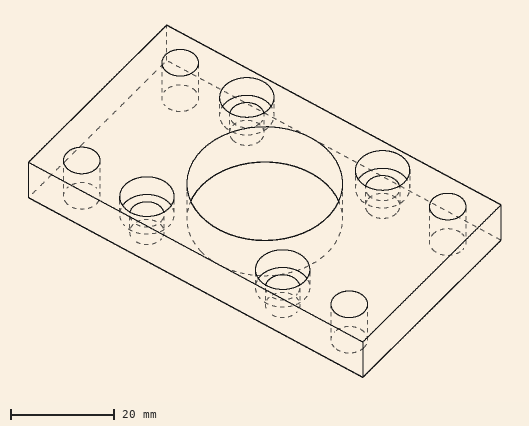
import cadquery as cq

length = 80.0
width = 45.0
thickness = 10.0

bore_diameter = 30.0

corner_hole_diameter = 7.0
corner_spacing_x = 64.0
corner_spacing_y = 32.0

screw_hole_diameter = 6.6
counterbore_diameter = 10.5
counterbore_depth = thickness / 2
screw_spacing = 32.5


def top_face(body):
    """Workplane on the upper face, centred on the plate."""
    return body.faces(">Z").workplane(origin=(0, 0, thickness))


plate = cq.Workplane("XY").box(length, width, thickness, centered=(True, True, False))

plate = top_face(plate).hole(bore_diameter)

plate = (
    top_face(plate)
    .rarray(corner_spacing_x, corner_spacing_y, 2, 2)
    .hole(corner_hole_diameter)
)

result = (
    top_face(plate)
    .rarray(screw_spacing, screw_spacing, 2, 2)
    .cboreHole(screw_hole_diameter, counterbore_diameter, counterbore_depth)
)